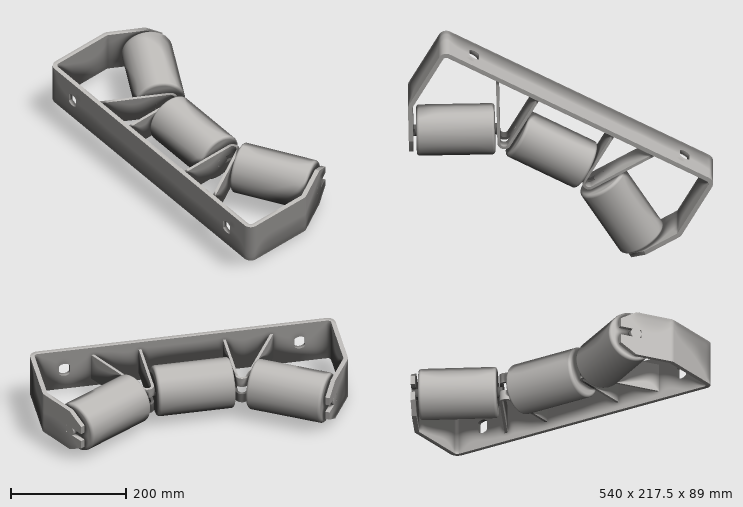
import cadquery as cq
import math

TILT = 30.0
LENGTH = 540.0
HEIGHT = 80.0

FRAME_THICK = 8.0
FRAME_BEND = 6.0
WALL_TOP = 126.3
ARM_LENGTH = 100.5
ARM_CUT_LENGTH = 30.0
ARM_CUT_ANGLE = 30.0

HOLE_X = 208.0
HOLE_DIAMETER = 25.0
HOLE_FLATS = 19.0

ROLLER_DIAMETER = 89.0
ROLLER_LENGTH = 136.0
ROLLER_FILLET = 5.0
ROLLER_GAP = 4.0
AXLE_DIAMETER = 20.0
AXLE_SHOULDER = 2.5
AXLE_FLATS = 15.0
MIDDLE_ROLLER_Y = 101.0
SIDE_ROLLER_Y = 146.77

BRACKET_HEIGHT = 50.0
BRACKET_THICK = 5.0
BRACKET_BEND = 7.0
BRACKET_BEND_Y = 117.7

LEAN = math.radians(TILT)
ALONG = cq.Vector(math.sin(LEAN), math.cos(LEAN))
INWARD = cq.Vector(math.cos(LEAN), -math.sin(LEAN))

FLATS_START = ROLLER_LENGTH / 2 + AXLE_SHOULDER
HALF_SPAN = ROLLER_LENGTH / 2 + ROLLER_GAP
BRACKET_SPAN = HALF_SPAN + BRACKET_THICK
BRACKET_OUTER_BEND = BRACKET_BEND + BRACKET_THICK
BEND_CENTRE = cq.Vector(-HALF_SPAN - BRACKET_OUTER_BEND, BRACKET_BEND_Y)

ARM_CORNER = cq.Vector(-LENGTH / 2, WALL_TOP)
ARM_TIP = ARM_CORNER + ALONG * ARM_LENGTH

LEANING_FACE = BEND_CENTRE.dot(INWARD) - BRACKET_OUTER_BEND
SIDE_ROLLER_X = (LEANING_FACE - HALF_SPAN + SIDE_ROLLER_Y * math.sin(LEAN)) / math.cos(LEAN)
LEFT_ROLLER = cq.Vector(SIDE_ROLLER_X, SIDE_ROLLER_Y)
MIDDLE_ROLLER = cq.Vector(0, MIDDLE_ROLLER_Y)
ARM_SPAN = LEFT_ROLLER.dot(INWARD) - ARM_CORNER.dot(INWARD)


def axle_plane(centre, direction):
    """Plane square to an axle, with its local x pointing across the axle towards +Y."""
    across = cq.Vector(direction.y, -direction.x)
    if across.y < 0:
        across = -across
    return cq.Workplane(cq.Plane(origin=centre, xDir=across, normal=direction))


def axle_end(centre, direction, start, end):
    """Axle between two distances from the roller middle, with flats facing +Z and -Z."""
    face = axle_plane(centre, direction).workplane(offset=start)
    barrel = face.circle(AXLE_DIAMETER / 2).extrude(end - start)
    return barrel.intersect(face.rect(AXLE_DIAMETER, AXLE_FLATS).extrude(end - start))


def axle_slot(centre, direction, start, end, reach):
    """Slot for a flatted axle end, with a flat floor and running `reach` past the axle centre."""
    face = axle_plane(centre, direction).workplane(offset=start)
    floor_depth = AXLE_DIAMETER / 2
    channel = face.center((reach - floor_depth) / 2, 0)
    return channel.rect(reach + floor_depth, AXLE_FLATS).extrude(end - start)


def round_upright_edge(body, corner, radius):
    nearby = cq.Vector(FRAME_THICK / 4, FRAME_THICK / 4, HEIGHT)
    edge = cq.selectors.BoxSelector((corner - nearby).toTuple(), (corner + nearby).toTuple())
    return body.edges("|Z").edges(edge).fillet(radius)


def left_strip():
    """Left half of the bent strip: back plate, side wall and leaning arm."""
    foot_outer = cq.Vector(-LENGTH / 2, 0)
    foot_inner = foot_outer + cq.Vector(FRAME_THICK, FRAME_THICK)
    arm_inner = ARM_CORNER + cq.Vector(FRAME_THICK, -FRAME_THICK * math.tan(LEAN / 2))
    outline = [
        cq.Vector(0, 0),
        foot_outer,
        ARM_CORNER,
        ARM_TIP,
        ARM_TIP + INWARD * FRAME_THICK,
        arm_inner,
        foot_inner,
        cq.Vector(0, FRAME_THICK),
    ]
    body = cq.Workplane("XY").polyline([(p.x, p.y) for p in outline]).close()
    body = body.extrude(HEIGHT / 2, both=True)
    for corner in (foot_outer, ARM_CORNER):
        body = round_upright_edge(body, corner, FRAME_BEND + FRAME_THICK)
    for corner in (foot_inner, arm_inner):
        body = round_upright_edge(body, corner, FRAME_BEND)
    return body


def arm_corner_cut(side):
    """Wedge that tapers the arm tip on one of its two long edges."""
    edge = side * HEIGHT / 2
    depth = ARM_CUT_LENGTH * math.tan(math.radians(ARM_CUT_ANGLE))
    face = cq.Workplane(cq.Plane(origin=ARM_TIP, xDir=ALONG, normal=INWARD))
    wedge = face.polyline([(0, edge), (-ARM_CUT_LENGTH, edge), (0, edge - side * depth)]).close()
    return wedge.extrude(FRAME_THICK)


def mounting_hole():
    face = cq.Workplane("XZ", origin=(-HOLE_X, 0, 0))
    flats = face.rect(HOLE_FLATS, HOLE_DIAMETER).extrude(-FRAME_THICK)
    return face.circle(HOLE_DIAMETER / 2).extrude(-FRAME_THICK).intersect(flats)


def make_frame():
    left = left_strip()
    for side in (-1, 1):
        left = left.cut(arm_corner_cut(side))
    left = left.cut(mounting_hole())
    left = left.cut(axle_slot(LEFT_ROLLER, -INWARD, ARM_SPAN - FRAME_THICK, ARM_SPAN, ARM_LENGTH))
    return left.union(left.mirror("YZ"))


def make_left_bracket():
    """Strip with an upright leg, a bend at the top and a leg leaning like the left arm."""
    def bend_point(radius, direction):
        point = BEND_CENTRE + direction * radius
        return (point.x, point.y)

    def foot(radius):
        face = BEND_CENTRE.dot(INWARD) - radius
        return ((face + FRAME_THICK * math.sin(LEAN)) / math.cos(LEAN), FRAME_THICK)

    right = cq.Vector(1, 0)
    left = -INWARD
    crest = (right + left).normalized()
    bracket = (
        cq.Workplane("XY")
        .moveTo(BEND_CENTRE.x + BRACKET_OUTER_BEND, FRAME_THICK)
        .lineTo(*bend_point(BRACKET_OUTER_BEND, right))
        .threePointArc(bend_point(BRACKET_OUTER_BEND, crest), bend_point(BRACKET_OUTER_BEND, left))
        .lineTo(*foot(BRACKET_OUTER_BEND))
        .lineTo(*foot(BRACKET_BEND))
        .lineTo(*bend_point(BRACKET_BEND, left))
        .threePointArc(bend_point(BRACKET_BEND, crest), bend_point(BRACKET_BEND, right))
        .lineTo(BEND_CENTRE.x + BRACKET_BEND, FRAME_THICK)
        .close()
        .extrude(BRACKET_HEIGHT / 2, both=True)
    )
    reach = 2 * BRACKET_OUTER_BEND
    for centre, direction in ((MIDDLE_ROLLER, -right), (LEFT_ROLLER, INWARD)):
        bracket = bracket.cut(axle_slot(centre, direction, HALF_SPAN, BRACKET_SPAN, reach))
    over_bend = cq.Workplane("XY").box(reach, BRACKET_OUTER_BEND, AXLE_FLATS)
    return bracket.cut(over_bend.translate(BEND_CENTRE + cq.Vector(0, BRACKET_OUTER_BEND / 2)))


def make_roller(centre, direction, back_span, front_span):
    """Roller with its axle, whose flatted ends reach the given distances from the middle."""
    middle = axle_plane(centre, direction)
    shell_end = middle.workplane(offset=-ROLLER_LENGTH / 2)
    axle_shoulder = middle.workplane(offset=-FLATS_START)
    body = shell_end.circle(ROLLER_DIAMETER / 2).extrude(ROLLER_LENGTH)
    body = body.faces("%PLANE").edges().fillet(ROLLER_FILLET)
    body = body.union(axle_shoulder.circle(AXLE_DIAMETER / 2).extrude(2 * FLATS_START))
    body = body.union(axle_end(centre, direction, FLATS_START, front_span))
    return body.union(axle_end(centre, -direction, FLATS_START, back_span))


frame = make_frame()
left_bracket = make_left_bracket()
right_bracket = left_bracket.mirror("YZ")
middle_roller = make_roller(MIDDLE_ROLLER, cq.Vector(1, 0), BRACKET_SPAN, BRACKET_SPAN)
left_roller = make_roller(LEFT_ROLLER, INWARD, ARM_SPAN, BRACKET_SPAN)
right_roller = left_roller.mirror("YZ")

bodies = [frame, left_bracket, right_bracket, left_roller, middle_roller, right_roller]
result = cq.Compound.makeCompound([body.val() for body in bodies])